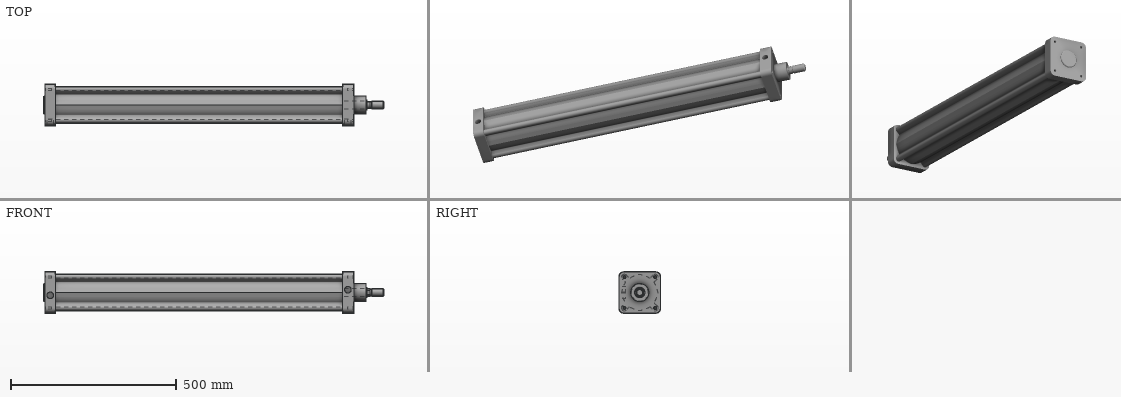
import cadquery as cq
import math

pilot_length = 4
rear_cap_length = 32
barrel_length = 870
front_cap_length = 34
nose_length = 37.5
collar_length = 2.5
total_length = 1031

cap_width = 126
cap_corner_radius = 15
pilot_diameter = 55
pilot_edge_chamfer = 2
nose_diameter = 55
collar_diameter = 31
port_diameter = 20
port_depth = 20
port_offset = 8.5
port_setback = 16
screw_spacing = 93.4
screw_hole_diameter = 6.5
screw_hole_mouth = 9
screw_hole_depth = 20

barrel_radius = 53
ridge_half_width = 14
lug_radius = 8.9
web_width = 17
web_root_fillet = 2

rod_diameter = 24
rod_end_chamfer = 3
groove_chamfer = 1.5
flats_length = 8.5
flats_width = 21
groove_length = 4.5
groove_diameter = rod_diameter - 2 * groove_chamfer

rear_cap_start = pilot_length
barrel_start = rear_cap_start + rear_cap_length
front_cap_start = barrel_start + barrel_length
nose_start = front_cap_start + front_cap_length
collar_start = nose_start + nose_length
rod_exposed_start = collar_start + collar_length


def cross_section(x):
    """Workplane across the X axis, with local x along +Y and local y along +Z."""
    return cq.Workplane("YZ", origin=(x, 0, 0))


def port(x, z):
    """Round blind port going in from the -Y side of a cap."""
    port_mouth = cq.Workplane("XZ", origin=(x, -cap_width / 2, z))
    return port_mouth.circle(port_diameter / 2).extrude(-port_depth)


def cap_block(x, length):
    """Square cap with rounded corners."""
    block = cross_section(x).rect(cap_width, cap_width).extrude(length)
    return block.edges("|X").fillet(cap_corner_radius)


def screw_holes(x, depth):
    """Four countersunk holes on a square pattern, running in +X from x (or in -X for a negative depth)."""
    pattern = cross_section(x).rect(screw_spacing, screw_spacing, forConstruction=True).vertices()
    holes = pattern.circle(screw_hole_diameter / 2).extrude(depth)
    mouth_depth = math.copysign((screw_hole_mouth - screw_hole_diameter) / 2, depth)
    mouths = pattern.circle(screw_hole_mouth / 2).extrude(mouth_depth, taper=45)
    return holes.union(mouths)


def make_rear_cap():
    """Cap with a round pilot on its outer face."""
    pilot = cross_section(0).circle(pilot_diameter / 2).extrude(pilot_length)
    pilot = pilot.faces("<X").chamfer(pilot_edge_chamfer)
    cap = cap_block(rear_cap_start, rear_cap_length).union(pilot)
    cap = cap.cut(screw_holes(rear_cap_start, screw_hole_depth))
    return cap.cut(port(barrel_start - port_setback, -port_offset))


def make_front_cap():
    """Cap with a round nose, a small collar and a through bore for the rod."""
    nose = cross_section(nose_start).circle(nose_diameter / 2).extrude(nose_length)
    collar = cross_section(collar_start).circle(collar_diameter / 2).extrude(collar_length)
    bore_length = rod_exposed_start - front_cap_start
    rod_bore = cross_section(front_cap_start).circle(rod_diameter / 2).extrude(bore_length)
    cap = cap_block(front_cap_start, front_cap_length).union(nose).union(collar)
    cap = cap.cut(screw_holes(nose_start, -screw_hole_depth)).cut(rod_bore)
    return cap.cut(port(front_cap_start + port_setback, port_offset))


def make_barrel():
    """Round barrel with a shallow ridge along each side and a webbed round lug along each corner.

    The two flats of each ridge are tangent to the barrel.
    """
    barrel = cross_section(barrel_start).circle(barrel_radius).extrude(barrel_length)
    tangent_height = math.sqrt(barrel_radius**2 - ridge_half_width**2)
    ridge_height = barrel_radius**2 / tangent_height
    ridge_points = [
        (0, 0),
        (-ridge_half_width, tangent_height),
        (0, ridge_height),
        (ridge_half_width, tangent_height),
    ]
    ridge = cross_section(barrel_start).polyline(ridge_points).close().extrude(barrel_length)

    lug_distance = screw_spacing / math.sqrt(2)
    lug = cross_section(barrel_start).center(lug_distance, 0).circle(lug_radius).extrude(barrel_length)
    web = cross_section(barrel_start).center(lug_distance / 2, 0)
    web = web.rect(lug_distance, web_width).extrude(barrel_length)
    corner = lug.union(web)
    for side in range(4):
        angle = 90 * side
        barrel = barrel.union(ridge.rotate((0, 0, 0), (1, 0, 0), angle))
        barrel = barrel.union(corner.rotate((0, 0, 0), (1, 0, 0), angle + 45))

    barrel_middle = barrel_start + barrel_length / 2
    root_half_angle = math.asin(web_width / 2 / barrel_radius)
    for side in range(4):
        for root_side in (-1, 1):
            angle = math.radians(45 + 90 * side) + root_side * root_half_angle
            root = (barrel_middle, barrel_radius * math.cos(angle), barrel_radius * math.sin(angle))
            barrel = barrel.edges(cq.NearestToPointSelector(root)).fillet(web_root_fillet)
    return barrel


def make_piston_rod():
    """Rod with two wrench flats, a relief groove and a tip chamfered at both of its ends."""
    tip_start = rod_exposed_start + flats_length + groove_length
    shank = cross_section(front_cap_start).circle(rod_diameter / 2).extrude(tip_start - front_cap_start)
    flat_depth = (rod_diameter - flats_width) / 2
    for side in (-1, 1):
        flat = cq.Workplane("XY").box(flats_length, flat_depth, rod_diameter, centered=(False, True, True))
        shank = shank.cut(flat.translate((rod_exposed_start, side * (flats_width + flat_depth) / 2, 0)))
    groove = cross_section(tip_start - groove_length).circle(rod_diameter).circle(groove_diameter / 2)
    shank = shank.cut(groove.extrude(groove_length))

    tip = cross_section(tip_start).circle(rod_diameter / 2).extrude(total_length - tip_start)
    tip = tip.faces(">X").chamfer(rod_end_chamfer)
    tip = tip.faces("<X").chamfer(groove_chamfer)
    return shank.union(tip)


rear_cap = make_rear_cap()
barrel = make_barrel()
front_cap = make_front_cap()
piston_rod = make_piston_rod()

result = cq.Compound.makeCompound([rear_cap.val(), barrel.val(), front_cap.val(), piston_rod.val()])